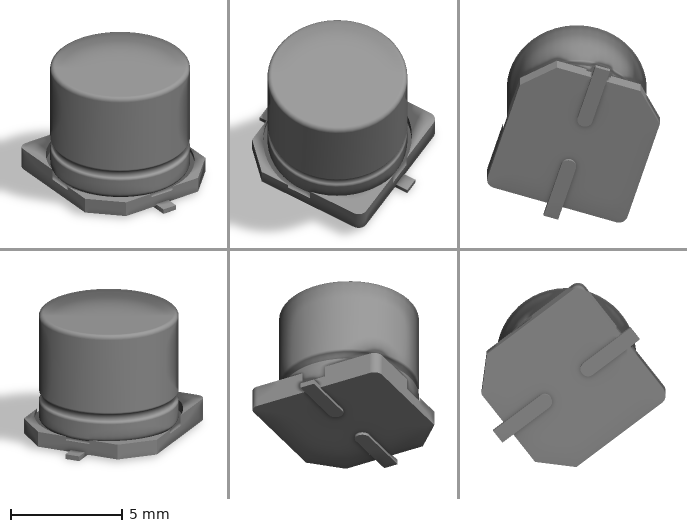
import cadquery as cq
import math

overall_length = 7.8
overall_height = 5.8

base_side = 6.6
base_bottom = 0.13
base_top = 1.16
low_rim_top = 0.84
corner_radius = 0.405
corner_chamfer = 1.325

recess_floor = 0.655
notch_width = 1.16
recess_radius = math.hypot(base_side / 2, notch_width / 2)

can_radius = 6.3 / 2
can_edge_radius = 0.195
groove_height = 1.85
groove_radius = 0.19
groove_lip_radius = 0.12

lead_width = 0.69
lead_thickness = 0.23
lead_gap = 1.795


def make_base():
    """Square plate with two rounded and two chamfered corners and a lowered +X rim."""
    base = (
        cq.Workplane("XY", origin=(0, 0, base_bottom))
        .rect(base_side, base_side)
        .extrude(base_top - base_bottom)
    )
    base = base.edges("|Z and <X").fillet(corner_radius)
    base = base.edges("|Z and >X").chamfer(corner_chamfer)

    recess = (
        cq.Workplane("XY", origin=(0, 0, recess_floor))
        .circle(recess_radius)
        .extrude(base_top - recess_floor)
    )
    rim_cut = (
        cq.Workplane("XY", origin=(0, 0, low_rim_top))
        .rect(base_side, base_side)
        .extrude(base_top - low_rim_top)
        .translate((base_side / 2, 0, 0))
    )
    return base.cut(recess).cut(rim_cut)


def make_can():
    """Cylinder with rounded ends and a crimp groove whose lips blend into the wall."""
    can = (
        cq.Workplane("XY", origin=(0, 0, recess_floor))
        .circle(can_radius)
        .extrude(overall_height - recess_floor)
        .edges()
        .fillet(can_edge_radius)
    )

    centre_distance = groove_radius + groove_lip_radius
    lip_offset = math.sqrt(centre_distance**2 - groove_lip_radius**2)
    tangent_ratio = groove_radius / centre_distance
    tangent_radius = can_radius - groove_lip_radius * tangent_ratio
    tangent_offset = lip_offset * tangent_ratio
    lip_angle = math.atan2(lip_offset, groove_lip_radius) / 2
    lip_mid_radius = can_radius - groove_lip_radius * (1 - math.cos(lip_angle))
    lip_mid_offset = lip_offset - groove_lip_radius * math.sin(lip_angle)
    groove = (
        cq.Workplane("XZ")
        .moveTo(can_radius, groove_height - lip_offset)
        .threePointArc(
            (lip_mid_radius, groove_height - lip_mid_offset),
            (tangent_radius, groove_height - tangent_offset),
        )
        .threePointArc(
            (can_radius - groove_radius, groove_height),
            (tangent_radius, groove_height + tangent_offset),
        )
        .threePointArc(
            (lip_mid_radius, groove_height + lip_mid_offset),
            (can_radius, groove_height + lip_offset),
        )
        .close()
        .revolve(360, (0, 0, 0), (0, 1, 0))
    )
    return can.cut(groove)


def make_lead(side):
    """Flat lead with a half-round inner end; side is -1 or +1 along X."""
    outer_x = side * overall_length / 2
    inner_x = side * lead_gap / 2
    round_start_x = inner_x + side * lead_width / 2
    return (
        cq.Workplane("XY")
        .moveTo(outer_x, -lead_width / 2)
        .lineTo(round_start_x, -lead_width / 2)
        .threePointArc((inner_x, 0), (round_start_x, lead_width / 2))
        .lineTo(outer_x, lead_width / 2)
        .close()
        .extrude(lead_thickness)
    )


result = make_base().union(make_can())
for side in (-1, 1):
    result = result.union(make_lead(side))